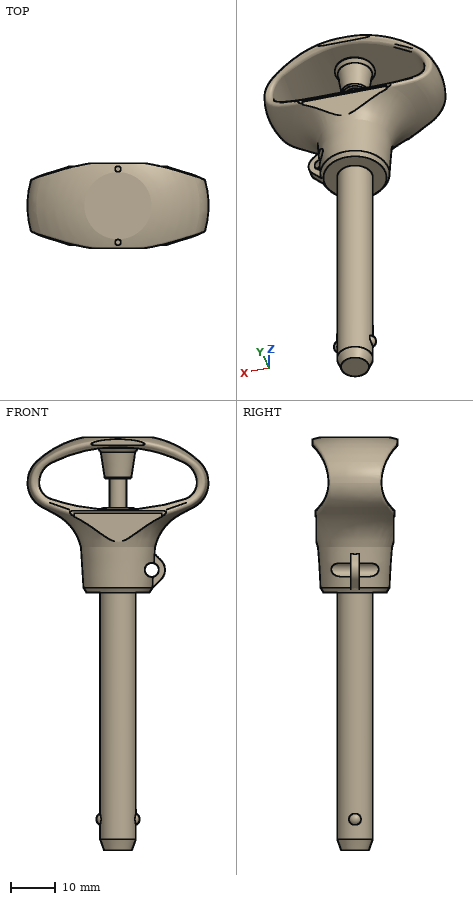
import cadquery as cq
import math


shank_radius = 4.05
shank_length = 58.0
tip_radius = 3.15
tip_length = 2.5
ball_radius = 1.4
ball_reach = 4.9
ball_height = 7.0
overlap = 1.0

collar_bottom_radius = 7.1
collar_edge_radius = 7.8
collar_edge_height = 1.1
collar_top_radius = 8.37
collar_height = 10.2

handle_top_z = 35.0
handle_radius = 20.42
handle_widest_z = 24.7
crown_arc_radius = 21.8
shoulder_arc_radius = 6.5
shoulder_angle = math.radians(46.5)
rim_arc_radius = 6.2
rim_angle = math.radians(62)
underside_length = 3.6

waist_half = 6.0
waist_z = handle_widest_z
waist_upper_radius = 11.6
waist_lower_radius = 8.3
waist_lower_angle = math.radians(75)
handle_half_width = 9.6
skirt_half = 8.9
flat_half = 8.72
flat_width = 19.6
flat_top_z = 17.9
rim_outer_fillet = 0.7
rim_inner_fillet = 0.8
side_selection_y = 4.8
selection_margin = 0.1

mark_radius = 0.65
mark_floor_z = 34.3
mark_y = 8.25

opening_half = 17.7
opening_end_z = handle_widest_z
opening_roof_z = 32.7
opening_floor_z = 18.6
opening_upper_end_radius = 5.0
opening_lower_end_radius = 3.8

stem_radius = 1.95
button_bottom_radius = 2.75
button_bottom_z = 25.6
button_edge_radius = 3.05
button_edge_z = 26.0
button_neck_radius = 3.9
button_neck_z = 31.6
button_head_radius = 4.6
button_head_z = 32.5
seat_base_radius = 4.5
seat_top_radius = 3.2
seat_top_z = 19.1

lug_x = 7.6
lug_z = 5.1
lug_radius = 3.0
lug_thickness = 2.0
lug_hole_radius = 1.55


def turned(profile):
    """Turn a half profile about Z, keeping the seam on the -X side, away from the lug."""
    return profile.close().revolve(360, (0, 0, 0), (0, 1, 0)).rotate((0, 0, 0), (0, 0, 1), 180)


def rim_point(radius, angle):
    """Return a point of an arc that runs upright at the widest place of the handle."""
    return handle_radius - radius * (1 - math.cos(angle)), handle_widest_z + radius * math.sin(angle)


def crown_point(z):
    """Return the point at height z of the crown arc, which is tangent to the shoulder arc."""
    edge_x, edge_z = rim_point(shoulder_arc_radius, shoulder_angle)
    center_x = edge_x - crown_arc_radius * math.cos(shoulder_angle)
    center_z = edge_z - crown_arc_radius * math.sin(shoulder_angle)
    return center_x + math.sqrt(crown_arc_radius**2 - (z - center_z) ** 2), z


def handle_blank():
    crown_edge = rim_point(shoulder_arc_radius, shoulder_angle)
    crown_flat = crown_point(handle_top_z)
    crown_mid = crown_point((handle_top_z + crown_edge[1]) / 2)
    widest = (handle_radius, handle_widest_z)
    rim_x, rim_z = rim_point(rim_arc_radius, -rim_angle)
    flare_x = rim_x - underside_length * math.sin(rim_angle)
    flare_z = rim_z - underside_length * math.cos(rim_angle)
    return turned(
        cq.Workplane("XZ")
        .moveTo(0, handle_top_z)
        .lineTo(*crown_flat)
        .threePointArc(crown_mid, crown_edge)
        .threePointArc(rim_point(shoulder_arc_radius, shoulder_angle / 2), widest)
        .threePointArc(rim_point(rim_arc_radius, -rim_angle / 2), (rim_x, rim_z))
        .lineTo(flare_x, flare_z)
        .tangentArcPoint((collar_top_radius, collar_height), relative=False)
        .lineTo(collar_edge_radius, collar_edge_height)
        .lineTo(collar_bottom_radius, 0)
        .lineTo(0, 0)
    )


def waist_point(radius, angle):
    """Return a point of a waist arc, the angle counted up from the narrowest place."""
    return waist_half + radius * (1 - math.cos(angle)), waist_z + radius * math.sin(angle)


def waist_prism():
    top_angle = math.asin((handle_top_z - waist_z) / waist_upper_radius)
    upper_mid = waist_point(waist_upper_radius, top_angle / 2)
    lower_mid = waist_point(waist_lower_radius, -waist_lower_angle / 2)
    bottom_half, bottom_z = waist_point(waist_lower_radius, -waist_lower_angle)
    outer_half = handle_radius + overlap
    outer_z = bottom_z - (outer_half - bottom_half) / math.tan(waist_lower_angle)
    half_profile = (
        cq.Workplane("YZ")
        .lineTo(outer_half, 0)
        .lineTo(outer_half, outer_z)
        .lineTo(bottom_half, bottom_z)
        .threePointArc(lower_mid, (waist_half, waist_z))
        .threePointArc(upper_mid, waist_point(waist_upper_radius, top_angle))
        .lineTo(0, handle_top_z)
    )
    return half_profile.mirrorY().extrude(outer_half, both=True)


def oval_arc(half_length, rise, end_radius):
    """Return the joint and the bow of a quarter oval: a large arc tangent to an end arc."""
    end_center = half_length - end_radius
    bow_radius = (end_center**2 + rise**2 - end_radius**2) / (2 * (rise - end_radius))
    bow_center = rise - bow_radius
    lean = math.atan2(end_center, -bow_center)
    return bow_radius * math.sin(lean), bow_center + bow_radius * math.cos(lean)


def finger_opening():
    roof_rise = opening_roof_z - opening_end_z
    floor_drop = opening_end_z - opening_floor_z
    ux, uz = oval_arc(opening_half, roof_rise, opening_upper_end_radius)
    lx, lz = oval_arc(opening_half, floor_drop, opening_lower_end_radius)
    end = (opening_half, 0)
    far_end = (-opening_half, 0)
    return (
        cq.Workplane("XZ", origin=(0, 0, opening_end_z))
        .moveTo(-ux, uz)
        .threePointArc((0, roof_rise), (ux, uz))
        .tangentArcPoint(end, relative=False)
        .tangentArcPoint((lx, -lz), relative=False)
        .threePointArc((0, -floor_drop), (-lx, -lz))
        .tangentArcPoint(far_end, relative=False)
        .tangentArcPoint((-ux, uz), relative=False)
        .close()
        .extrude(handle_radius, both=True)
    )


def shank():
    body = turned(
        cq.Workplane("XZ")
        .moveTo(0, -shank_length)
        .lineTo(tip_radius, -shank_length)
        .lineTo(shank_radius, tip_length - shank_length)
        .lineTo(shank_radius, overlap)
        .lineTo(0, overlap)
    )
    for side in (-1, 1):
        ball_x = side * (ball_reach - ball_radius)
        body = body.union(cq.Workplane().sphere(ball_radius).translate((ball_x, 0, ball_height - shank_length)))
    return body


def button():
    return turned(
        cq.Workplane("XZ")
        .moveTo(0, opening_floor_z - overlap)
        .lineTo(seat_base_radius, opening_floor_z - overlap)
        .lineTo(seat_base_radius, opening_floor_z)
        .lineTo(seat_top_radius, seat_top_z)
        .lineTo(stem_radius, seat_top_z)
        .lineTo(stem_radius, button_bottom_z)
        .lineTo(button_bottom_radius, button_bottom_z)
        .lineTo(button_edge_radius, button_edge_z)
        .lineTo(button_neck_radius, button_neck_z)
        .lineTo(button_head_radius, button_head_z)
        .lineTo(button_head_radius, button_head_z + overlap)
        .lineTo(0, button_head_z + overlap)
    )


def lug():
    """Return a round lug whose two flanks leave the rounding at 45 degrees."""
    reach = lug_radius * math.sqrt(0.5)
    root_x = lug_x + 2 * reach - lug_z
    return (
        cq.Workplane("XZ")
        .moveTo(root_x, 0)
        .lineTo(lug_x + reach, lug_z - reach)
        .threePointArc((lug_x + lug_radius, lug_z), (lug_x + reach, lug_z + reach))
        .lineTo(root_x, 2 * lug_z)
        .close()
        .extrude(lug_thickness / 2, both=True)
    )


def lug_hole():
    return cq.Workplane("XZ").center(lug_x, lug_z).circle(lug_hole_radius).extrude(handle_radius, both=True)


def crown_marks():
    places = [(0, -mark_y), (0, mark_y)]
    plane = cq.Workplane("XY", origin=(0, 0, mark_floor_z))
    return plane.pushPoints(places).circle(mark_radius).extrude(overlap)


def side_edges(body, reach_x, bottom_z, top_z):
    """Select the edges lying wholly on the -Y or the +Y side within the given reach."""
    picked = []
    for side in (-1, 1):
        near = (-reach_x, side * side_selection_y, bottom_z)
        far = (reach_x, side * handle_radius, top_z)
        box = cq.selectors.BoxSelector(near, far, boundingbox=True)
        picked += body.edges(box).vals()
    return body.newObject(picked)


def trim_sides(body, half_width, length, bottom_z, top_z):
    """Cut flat planes at Y = +-half_width over a centred length and a height range."""
    depth = handle_radius
    height = top_z - bottom_z
    for side in (-1, 1):
        center = (0, side * (half_width + depth / 2), bottom_z + height / 2)
        body = body.cut(cq.Workplane().box(length, depth, height).translate(center))
    return body


def handle():
    body = cq.Workplane(handle_blank().intersect(waist_prism()).solids().val())
    body = side_edges(body, handle_radius, collar_height + overlap, handle_top_z).fillet(rim_outer_fillet)
    body = body.cut(finger_opening())
    reach = opening_half + selection_margin
    floor = opening_floor_z - selection_margin
    roof = opening_roof_z + selection_margin
    body = side_edges(body, reach, floor, roof).fillet(rim_inner_fillet)
    full_length = 2 * (handle_radius + overlap)
    body = trim_sides(body, handle_half_width, full_length, waist_z, handle_top_z)
    body = trim_sides(body, skirt_half, full_length, 0, waist_z)
    body = trim_sides(body, flat_half, flat_width, 0, flat_top_z)
    return body.cut(crown_marks())


grip = handle().union(lug()).cut(lug_hole())
pin = grip.union(button()).union(shank())
result = cq.Workplane(pin.solids().val())